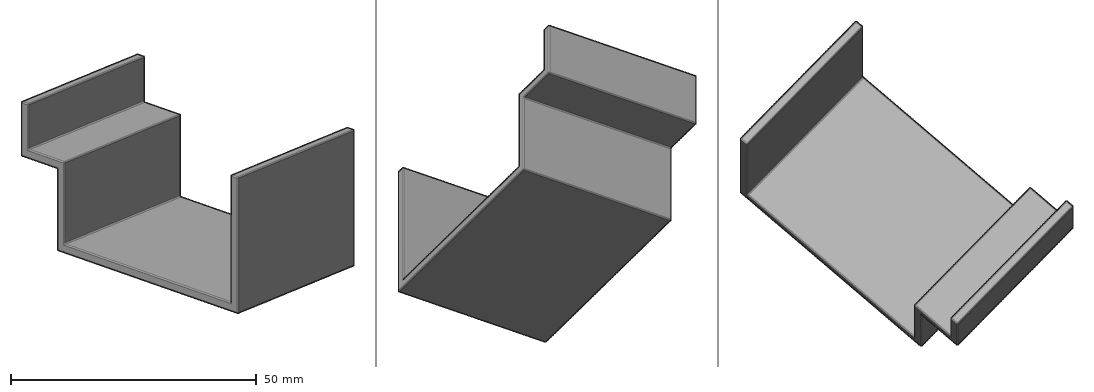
import cadquery as cq

total_width = 60.0
depth = 35.0
height = 30.0
wall = total_width / 30
step_width = 5 * wall
ledge_height = 18.0
edge_radius = 0.25
corner_radius = 0.25

left = -total_width / 2
right = total_width / 2
channel_left = left + step_width
ledge_top = ledge_height + wall

section = [
    (channel_left, 0),
    (right, 0),
    (right, height),
    (right - wall, height),
    (right - wall, wall),
    (channel_left + wall, wall),
    (channel_left + wall, ledge_top),
    (left + wall, ledge_top),
    (left + wall, height),
    (left, height),
    (left, ledge_height),
    (channel_left, ledge_height),
]
inside_corners = [
    (right - wall, wall),
    (channel_left + wall, wall),
    (left + wall, ledge_top),
    (channel_left, ledge_height),
]


def inside_edges(body):
    """Return the lengthwise edges at the inside of the four bends."""
    edges = body.newObject([])
    for x, z in inside_corners:
        edges = edges.add(body.edges(cq.NearestToPointSelector((x, 0, z))))
    return edges


channel = cq.Workplane("XZ").polyline(section).close().extrude(depth / 2, both=True)

inside = inside_edges(channel).vals()
outer_edges = [edge for edge in channel.edges().vals() if not any(edge.isSame(other) for other in inside)]
rounded = channel.newObject(outer_edges).fillet(edge_radius)

result = inside_edges(rounded).fillet(corner_radius)